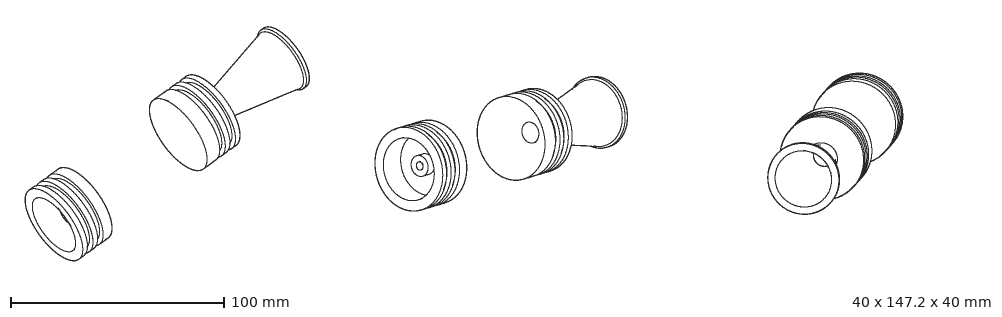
import cadquery as cq


RIM_RADIUS = 40.0 / 2
GROOVE_RADIUS = 35.2 / 2
LAND_WIDTH = 3.0
GROOVE_WIDTH = 3.5
GROOVE_PITCH = LAND_WIDTH + GROOVE_WIDTH
GROOVE_COUNT = 2

PISTON_LENGTH = 18.7
POCKET_RADIUS = 30.0 / 2
POCKET_DEPTH = 13.4
BOSS_RADIUS = 10.0 / 2
BOSS_HEIGHT = 5.0
PISTON_HOLE_RADIUS = 4.0 / 2
PISTON_HOLE_DEPTH = BOSS_HEIGHT

NOZZLE_FRONT_Y = 79.2
NOZZLE_END_Y = 147.2
NOZZLE_HEAD_LENGTH = 21.0
NECK_LENGTH = 4.5
NECK_RADIUS = 15.0 / 2
FLANGE_RADIUS = 34.0 / 2
FLANGE_WIDTH = 1.9
FLANGE_BEVEL_WIDTH = 0.9
CONE_END_RADIUS = 32.0 / 2
BORE_RADIUS = 10.0 / 2
INLET_CONE_DEPTH = RIM_RADIUS - BORE_RADIUS
WALL_THICKNESS = NECK_RADIUS - BORE_RADIUS


def disc(radius, start_y, length):
    """Cylinder on the Y axis, running toward +Y from start_y."""
    return cq.Workplane("XZ", origin=(0, start_y, 0)).circle(radius).extrude(-length)


def turned(profile):
    """Solid of revolution about Y from (radius, y) points."""
    return cq.Workplane("XY").polyline(profile).close().revolve(360, (0, 0, 0), (0, 1, 0))


def cut_rim_grooves(body, end_y, direction):
    """Cut the ring grooves, counted from the end face at end_y into the body."""
    for index in range(GROOVE_COUNT):
        near_y = end_y + direction * (LAND_WIDTH + index * GROOVE_PITCH)
        start_y = min(near_y, near_y + direction * GROOVE_WIDTH)
        ring = disc(RIM_RADIUS, start_y, GROOVE_WIDTH).cut(disc(GROOVE_RADIUS, start_y, GROOVE_WIDTH))
        body = body.cut(ring)
    return body


def make_piston():
    """Short grooved cup, open toward -Y, with a small blind-drilled boss on its floor."""
    body = disc(RIM_RADIUS, 0, PISTON_LENGTH)
    body = body.cut(disc(POCKET_RADIUS, 0, POCKET_DEPTH))
    body = body.union(disc(BOSS_RADIUS, POCKET_DEPTH - BOSS_HEIGHT, BOSS_HEIGHT))
    body = body.cut(disc(PISTON_HOLE_RADIUS, POCKET_DEPTH - BOSS_HEIGHT, PISTON_HOLE_DEPTH))
    return cut_rim_grooves(body, 0, 1)


def make_nozzle():
    """Grooved head with a converging inlet, a straight throat and a flared, flanged outlet."""
    head_end_y = NOZZLE_FRONT_Y + NOZZLE_HEAD_LENGTH
    inlet_end_y = NOZZLE_FRONT_Y + INLET_CONE_DEPTH
    cone_start_y = head_end_y + NECK_LENGTH
    flange_y = NOZZLE_END_Y - FLANGE_WIDTH
    cone_end_y = flange_y - FLANGE_BEVEL_WIDTH
    body = turned([
        (RIM_RADIUS, NOZZLE_FRONT_Y),
        (RIM_RADIUS, head_end_y),
        (NECK_RADIUS, head_end_y),
        (NECK_RADIUS, cone_start_y),
        (CONE_END_RADIUS, cone_end_y),
        (FLANGE_RADIUS, flange_y),
        (FLANGE_RADIUS, NOZZLE_END_Y),
        (CONE_END_RADIUS - WALL_THICKNESS, NOZZLE_END_Y),
        (BORE_RADIUS, cone_start_y),
        (BORE_RADIUS, inlet_end_y),
    ])
    return cut_rim_grooves(body, head_end_y, -1)


piston = make_piston()
nozzle = make_nozzle()

result = cq.Compound.makeCompound([piston.val(), nozzle.val()])